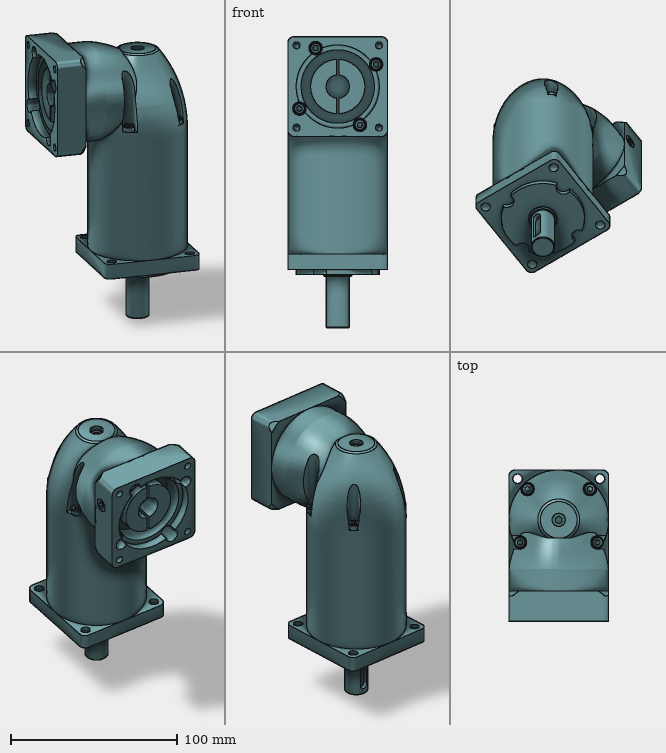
import cadquery as cq
import math


total_height = 175.0
total_depth = 91.0
square_side = 60.0
body_radius = square_side / 2
corner_radius = 3.8
input_height = total_height - body_radius

collar_bottom = 30.8
boss_bottom = 32.0
flange_bottom = 35.0
flange_top = 44.3
dome_start = 117.5
cover_edge_height = 168.4
cover_top = 169.0

shaft_radius = 7.0
shaft_chamfer = 0.5
collar_radius = 8.5
collar_chamfer = 0.7
boss_radius = 25.0
boss_notch_radius = 4.4
boss_notch_angle = 26.0
keyway_width = 5.0
keyway_length = 24.0
keyway_depth = 3.0
keyway_middle = 15.8
bolt_circle_radius = 35.0
flange_hole_diameter = 5.6

dome_mid_radius = 23.6
dome_mid_height = 150.0
cover_edge_radius = 12.6
cover_top_radius = 11.0

input_dome_start = -29.5
input_dome_mid = -18.9
input_dome_mid_radius = 27.5
input_dome_end = -4.0
input_dome_end_radius = 20.1
adapter_front = body_radius - total_depth
adapter_thickness = 18.2
adapter_back = adapter_front + adapter_thickness

pilot_radius = 25.0
pilot_depth = 5.5
bore_radius = 22.0
tapped_hole_diameter = 4.2
tapped_hole_depth = 10.0
drill_tip_angle = 118.0
back_cone_radius = 38.5
back_cone_angle = 38.0
adapter_screw_radius = 26.6
adapter_screw_angles = [30, 120, 210, 300]
counterbore_depth = 14.9

hub_radius = 16.3
hub_recess = 5.8
hub_bore_radius = 7.0
hub_slit_width = 1.5

head_radius = 3.5
head_height = 3.5
head_chamfer = 0.5
head_hex = 3.5
head_hex_depth = 2.0
head_hole_radius = 4.0

slot_floor = 125.3
rear_screw = (18.7, 18.5)
front_screw = (23.3, -13.5)
housing_screws = [(side * x, y) for side in (-1, 1) for x, y in (rear_screw, front_screw)]

plug_radius = 4.0
plug_hex = 4.5
plug_hex_depth = 2.0
top_plug_depth = 3.3
side_plug_depth = 0.2
side_plug_drop = 11.9
side_plug_rise = 11.0


def upright(height):
    """Workplane at the given height, facing up."""
    return cq.Workplane("XY", origin=(0, 0, height))


def input_plane(y):
    """Workplane on the input axis facing the motor (-Y), with local x = X and local y = Z."""
    return cq.Workplane("XZ", origin=(0, y, input_height))


def screw_head():
    """Socket head standing on the XY plane with its hexagon corner on the X axis."""
    head = cq.Workplane("XY").circle(head_radius).extrude(head_height).faces(">Z").chamfer(head_chamfer)
    return head.faces(">Z").workplane().polygon(6, head_hex).cutBlind(-head_hex_depth)


def place_on_input(shape, angle, y):
    """Move a shape standing on the XY plane so it faces the motor, on the adapter's screw circle."""
    turned = shape.translate((adapter_screw_radius, 0, 0)).rotate((0, 0, 0), (0, 0, 1), angle)
    return turned.rotate((0, 0, 0), (1, 0, 0), 90).translate((0, y, input_height))


def output_housing():
    """Round housing with its dome and flat cover, turned about the output axis."""
    return (
        cq.Workplane("XZ")
        .moveTo(0, flange_bottom)
        .lineTo(body_radius, flange_bottom)
        .lineTo(body_radius, dome_start)
        .threePointArc((dome_mid_radius, dome_mid_height), (cover_edge_radius, cover_edge_height))
        .lineTo(cover_top_radius, cover_top)
        .lineTo(0, cover_top)
        .close()
        .revolve(360, (0, 0), (0, 1))
    )


def input_housing():
    """Round branch towards the motor, with a domed end inside the output housing."""
    return (
        cq.Workplane("XY", origin=(0, 0, input_height))
        .moveTo(0, adapter_back)
        .lineTo(body_radius, adapter_back)
        .lineTo(body_radius, input_dome_start)
        .threePointArc((input_dome_mid_radius, input_dome_mid), (input_dome_end_radius, input_dome_end))
        .lineTo(0, input_dome_end)
        .close()
        .revolve(360, (0, 0), (0, 1))
    )


def mounting_flange():
    """Square flange at the output end with four through holes."""
    hole_spacing = bolt_circle_radius * math.sqrt(2)
    return (
        upright(flange_bottom)
        .rect(square_side, square_side)
        .extrude(flange_top - flange_bottom)
        .edges("|Z")
        .fillet(corner_radius)
        .faces("<Z")
        .workplane()
        .rect(hole_spacing, hole_spacing, forConstruction=True)
        .vertices()
        .hole(flange_hole_diameter)
    )


def centring_boss():
    """Round boss under the flange with four scooped notches in its rim."""
    boss = upright(boss_bottom).circle(boss_radius).extrude(flange_bottom - boss_bottom)
    notches = (
        upright(boss_bottom)
        .polarArray(boss_radius, -boss_notch_angle, 360, 4)
        .circle(boss_notch_radius)
        .extrude(flange_bottom - boss_bottom)
    )
    return boss.cut(notches)


def output_shaft():
    """Shaft with its collar and a keyway on the +Y side."""
    shaft = upright(0).circle(shaft_radius).extrude(boss_bottom).faces("<Z").chamfer(shaft_chamfer)
    collar = upright(collar_bottom).circle(collar_radius).extrude(boss_bottom - collar_bottom)
    collar = collar.faces("<Z").chamfer(collar_chamfer)
    keyway = (
        cq.Workplane("XZ", origin=(0, shaft_radius, keyway_middle))
        .slot2D(keyway_length, keyway_width, 90)
        .extrude(keyway_depth)
    )
    return shaft.cut(keyway).union(collar)


def screw_slots():
    """Four vertical slots down to the housing screws; the front pair also opens sideways."""
    slot_height = total_height - slot_floor
    slots = upright(slot_floor).pushPoints(housing_screws).circle(head_hole_radius).extrude(slot_height)
    opening_x = front_screw[0] + body_radius / 2
    openings = (
        upright(slot_floor)
        .pushPoints([(-opening_x, front_screw[1]), (opening_x, front_screw[1])])
        .rect(body_radius, 2 * head_hole_radius)
        .extrude(slot_height)
    )
    return slots.union(openings)


def clamp_hub():
    """Split hub that takes the motor shaft, standing on the gearbox face inside the adapter."""
    length = adapter_thickness - hub_recess
    hub = input_plane(adapter_back).circle(hub_radius).circle(hub_bore_radius).extrude(length)
    slit = input_plane(adapter_back).rect(hub_slit_width, 2 * hub_radius).extrude(length)
    return hub.cut(slit)


def make_gearbox():
    """Gearbox body: housings, flange, boss, shaft, clamp hub, housing screws and top plug."""
    gearbox = output_housing().union(input_housing()).cut(screw_slots())
    gearbox = gearbox.union(mounting_flange()).union(centring_boss()).union(output_shaft())
    gearbox = gearbox.union(clamp_hub())
    head = screw_head().rotate((0, 0, 0), (0, 0, 1), 90)
    for x, y in housing_screws:
        gearbox = gearbox.union(head.translate((x, y, slot_floor)))

    plug_level = cover_top - top_plug_depth
    gearbox = gearbox.cut(upright(plug_level).circle(plug_radius).extrude(top_plug_depth))
    socket = upright(plug_level).transformed(rotate=(0, 0, 90)).polygon(6, plug_hex)
    return gearbox.cut(socket.extrude(-plug_hex_depth))


def adapter_plate():
    """Square plate with rounded edges and a cone turned over its back corners."""
    plate = (
        input_plane(adapter_back)
        .rect(square_side, square_side)
        .extrude(adapter_thickness)
        .edges("|Y")
        .fillet(corner_radius)
    )
    front_radius = back_cone_radius + adapter_thickness * math.tan(math.radians(back_cone_angle))
    cone = (
        input_plane(adapter_back)
        .circle(back_cone_radius)
        .workplane(offset=adapter_thickness)
        .circle(front_radius)
        .loft()
    )
    return plate.intersect(cone)


def tapped_hole():
    """Blind motor hole on the input axis with a drill tip, sunk from the adapter face."""
    radius = tapped_hole_diameter / 2
    tip = radius / math.tan(math.radians(drill_tip_angle / 2))
    bottom = adapter_front + tapped_hole_depth
    return (
        cq.Workplane("XY", origin=(0, 0, input_height))
        .polyline([(0, adapter_front), (radius, adapter_front), (radius, bottom), (0, bottom + tip)])
        .close()
        .revolve(360, (0, 0), (0, 1))
    )


def make_adapter():
    """Motor adapter: plate with pilot, bore, motor holes, its sunk screws and the side plug."""
    adapter = adapter_plate()
    adapter = adapter.cut(input_plane(adapter_front).circle(pilot_radius).extrude(-pilot_depth))
    adapter = adapter.cut(input_plane(adapter_front).circle(bore_radius).extrude(-adapter_thickness))
    hole_place = bolt_circle_radius / math.sqrt(2)
    for x in (-hole_place, hole_place):
        for z in (-hole_place, hole_place):
            adapter = adapter.cut(tapped_hole().translate((x, 0, z)))

    counterbore = cq.Workplane("XY").circle(head_hole_radius).extrude(counterbore_depth)
    seat = adapter_front + counterbore_depth
    for angle in adapter_screw_angles:
        adapter = adapter.cut(place_on_input(counterbore, angle, seat))
        adapter = adapter.union(place_on_input(screw_head(), angle, seat))

    plug = cq.Workplane(
        "YZ", origin=(-body_radius, adapter_front + side_plug_drop, input_height + side_plug_rise)
    )
    adapter = adapter.cut(plug.circle(plug_radius).extrude(side_plug_depth))
    return adapter.cut(plug.polygon(6, plug_hex).extrude(side_plug_depth + plug_hex_depth))


gearbox = make_gearbox()
adapter = make_adapter()
result = cq.Compound.makeCompound([gearbox.solids().val(), adapter.solids().val()])